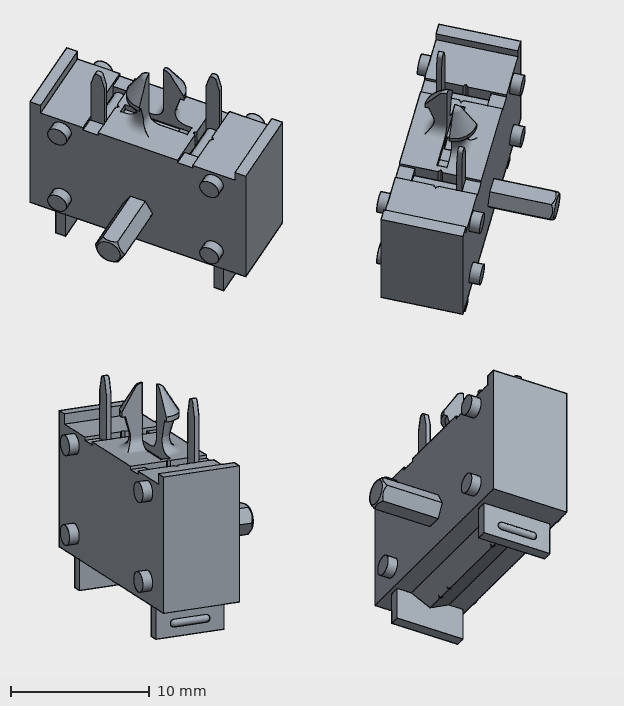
import cadquery as cq
import math

body_x = 17.27
body_y = 6.08
floor_z = 9.53
lip_x = 0.86
lip_z = 10.31
face_y = body_y / 2

recess_x = 1.21
recess_depth = 0.25
contact_offset = 3.78
slot_y = 3.76
slot_floor_z = 8.32
pin_x = 1.09
pin_y = 0.38
pin_shoulder_z = 12.99
pin_tip_z = 14.18
pin_tip_radius = 0.3
groove_depth = 0.19
groove_half = 0.17

latch_gap = 0.76
foot_fillet = 0.9
latch_neck_r = 0.95
latch_waist_z = 10.67
latch_under_r = 1.35
latch_cap_r = 1.64
latch_cap_low_z = 12.05
latch_cap_high_z = 12.43
latch_nose_r = 0.64
latch_nose_z = 14.02
latch_top_z = 14.45
latch_slot_x = 5.34
latch_slot_depth = 0.5
chamber_y = 1.55
chamber_flat_x = 3.04
chamber_depth = 0.52
trough_x = 1.04
trough_depth = 0.2
trough_fillet = 0.19

stud_r = 0.76
stud_height = 0.78
stud_x = 6.08
stud_heights = (1.75, 8.53)

hex_flats = 2.05
hex_z = 3.16
hex_tip_y = -7.85
hex_tip_r = 0.93

leg_inner_x = 5.92
leg_x = 0.8
leg_y = 5.45
leg_length = 2.57
bead_r = 0.3
bead_z = -1.54
bead_straight_y = 2.55
keel_depth = 0.78
keel_y = 3.1

hex_corner_r = hex_flats / math.sqrt(3)
gap_half = latch_gap / 2


def block(x_range, y_range, z_range):
    size = [high - low for low, high in (x_range, y_range, z_range)]
    return cq.Workplane("XY").box(*size, centered=False).translate((x_range[0], y_range[0], z_range[0]))


def mirrored_block(half_x, half_y, z_range):
    """Box centred on X and Y."""
    return block((-half_x, half_x), (-half_y, half_y), z_range)


def housing():
    shape = mirrored_block(body_x / 2, face_y, (0, lip_z))
    return shape.cut(mirrored_block(body_x / 2 - lip_x, face_y, (floor_z, lip_z)))


def contact_recess(center_x):
    """Shallow recess across the top with a deep slot in the middle."""
    x_range = (center_x - recess_x / 2, center_x + recess_x / 2)
    recess = block(x_range, (-face_y, face_y), (floor_z - recess_depth, floor_z))
    slot = block(x_range, (-slot_y / 2, slot_y / 2), (slot_floor_z, floor_z))
    return recess.union(slot)


def wall_grooves(center_x):
    """V-grooves in both slot walls, running right through the part."""
    tip = recess_x / 2 + groove_depth
    triangle = [
        (center_x - tip, 0),
        (center_x - recess_x / 2, groove_half),
        (center_x - recess_x / 2, -groove_half),
    ]
    groove = (
        cq.Workplane("XY", origin=(0, 0, -keel_depth))
        .polyline(triangle)
        .close()
        .extrude(floor_z + keel_depth)
    )
    return groove.union(groove.rotate((center_x, 0, 0), (center_x, 0, 1), 180))


def contact(center_x, side):
    """Flat pin standing on a rolled barrel that lies along the slot; side is +1 or -1 in Y."""
    barrel = (
        cq.Workplane("XZ", origin=(center_x, slot_y / 2, slot_floor_z))
        .circle(pin_x / 2)
        .extrude(slot_y)
    )
    tip_center_z = pin_tip_z - pin_tip_radius
    dx = pin_x / 2
    dz = tip_center_z - pin_shoulder_z
    tangent_angle = math.acos(pin_tip_radius / math.hypot(dx, dz)) - math.atan2(dz, dx)
    tangent_x = pin_tip_radius * math.cos(tangent_angle)
    tangent_z = tip_center_z + pin_tip_radius * math.sin(tangent_angle)
    back_y = slot_y / 2 if side > 0 else pin_y - slot_y / 2
    pin = (
        cq.Workplane("XZ", origin=(center_x, back_y, 0))
        .moveTo(-pin_x / 2, slot_floor_z)
        .lineTo(-pin_x / 2, pin_shoulder_z)
        .lineTo(-tangent_x, tangent_z)
        .threePointArc((0, pin_tip_z), (tangent_x, tangent_z))
        .lineTo(pin_x / 2, pin_shoulder_z)
        .lineTo(pin_x / 2, slot_floor_z)
        .close()
        .extrude(pin_y)
    )
    return barrel.union(pin)


def latch_prong():
    """Quarter of a turned barb standing at +X, +Y, with its foot also flared into the gap."""
    fillet_mid = foot_fillet * (1 - math.sqrt(0.5))
    foot_r = latch_neck_r + foot_fillet
    neck_z = floor_z + foot_fillet
    dome_rise = latch_top_z - latch_nose_z
    dome_radius = (latch_nose_r**2 + dome_rise**2) / (2 * dome_rise)
    barb = (
        cq.Workplane("XZ", origin=(gap_half, gap_half, 0))
        .moveTo(0, floor_z)
        .lineTo(foot_r, floor_z)
        .threePointArc((latch_neck_r + fillet_mid, floor_z + fillet_mid), (latch_neck_r, neck_z))
        .lineTo(latch_neck_r, latch_waist_z)
        .lineTo(latch_under_r, latch_cap_low_z)
        .lineTo(latch_cap_r, latch_cap_low_z)
        .lineTo(latch_cap_r, latch_cap_high_z)
        .lineTo(latch_nose_r, latch_nose_z)
        .radiusArc((0, latch_top_z), -dome_radius)
        .close()
        .revolve(360, (0, 0, 0), (0, 1, 0))
    )
    outer = gap_half + foot_r
    inner_profile = (
        cq.Workplane("XZ", origin=(0, outer, 0))
        .moveTo(outer, floor_z)
        .lineTo(gap_half - foot_fillet, floor_z)
        .threePointArc((gap_half - fillet_mid, floor_z + fillet_mid), (gap_half, neck_z))
        .lineTo(gap_half, latch_top_z)
        .lineTo(outer, latch_top_z)
        .close()
        .extrude(foot_r)
    )
    return barb.intersect(inner_profile)


def latch_slot():
    """Slot between the prongs, opening into a wider chamber with a floor that rises to both ends."""
    end = latch_slot_x / 2
    flat = chamber_flat_x / 2
    roof_z = floor_z - latch_slot_depth
    chamber_floor_z = roof_z - chamber_depth
    chamber = (
        cq.Workplane("XZ", origin=(0, chamber_y / 2, 0))
        .polyline([
            (-end, roof_z),
            (-flat, chamber_floor_z),
            (flat, chamber_floor_z),
            (end, roof_z),
        ])
        .close()
        .extrude(chamber_y)
    )
    opening = mirrored_block(end, gap_half, (roof_z, floor_z))
    trough_z = (chamber_floor_z - trough_depth, chamber_floor_z)
    trough = mirrored_block(trough_x / 2, gap_half, trough_z)
    trough = trough.edges("<Z and |Y").fillet(trough_fillet)
    return chamber.union(opening).union(trough)


def studs():
    points = [(x, z) for x in (-stud_x, stud_x) for z in stud_heights]
    reach = face_y + stud_height
    return cq.Workplane("XZ", origin=(0, reach, 0)).pushPoints(points).circle(stud_r).extrude(2 * reach)


def actuator():
    """Hexagonal bar whose corners are turned down to a cone at the tip."""
    bar = (
        cq.Workplane("XZ", origin=(0, 0, hex_z))
        .polygon(6, 2 * hex_corner_r)
        .extrude(-hex_tip_y)
    )
    cone_length = hex_corner_r - hex_tip_r
    envelope = (
        cq.Workplane("XZ", origin=(0, 0, hex_z))
        .circle(hex_corner_r)
        .extrude(-hex_tip_y)
        .faces("<Y")
        .chamfer(cone_length)
    )
    return bar.intersect(envelope)


def leg(side):
    outer_x = leg_inner_x + leg_x
    plate = block((leg_inner_x, outer_x), (-leg_y / 2, leg_y / 2), (-leg_length, 0))
    half = bead_straight_y / 2
    bead = (
        cq.Workplane("XY", origin=(outer_x, 0, bead_z))
        .moveTo(0, -half - bead_r)
        .radiusArc((bead_r, -half), -bead_r)
        .lineTo(bead_r, half)
        .radiusArc((0, half + bead_r), -bead_r)
        .close()
        .revolve(360, (0, 0, 0), (0, 1, 0))
    )
    shape = plate.union(bead)
    return shape if side > 0 else shape.mirror("YZ")


def keel():
    return (
        cq.Workplane("YZ", origin=(-leg_inner_x, 0, 0))
        .polyline([(-keel_y / 2, 0), (0, -keel_depth), (keel_y / 2, 0)])
        .close()
        .extrude(2 * leg_inner_x)
    )


result = housing().union(keel()).union(studs()).union(actuator())
for side in (-1, 1):
    result = result.union(leg(side))
    result = result.cut(contact_recess(side * contact_offset))
    result = result.cut(wall_grooves(side * contact_offset))
    result = result.union(contact(side * contact_offset, side))
result = result.cut(latch_slot())
prong = latch_prong()
result = result.union(prong).union(prong.rotate((0, 0, 0), (0, 0, 1), 180))